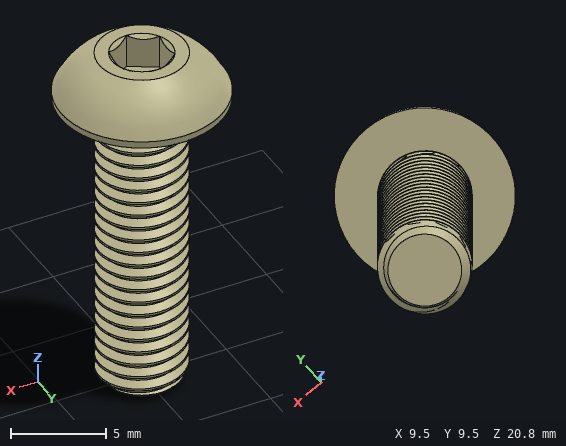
import cadquery as cq
import math

total_length = 20.75
head_diameter = 9.5
head_top_diameter = 5.0
head_height = 2.75
rim_height = 0.4
dome_radius = 5.4

socket_across_flats = 3.0
socket_depth = 2.0
countersink_angle = 45.0

shank_radius = 2.5
tip_radius = 1.93
shank_length = total_length - head_height

thread_turns = 22.5
pitch = shank_length / thread_turns
thread_depth = 0.55 * pitch
groove_root_width = 0.2 * pitch
flank_half_angle = 30.0
groove_phase_height = 0.27


def make_head():
    """Domed head above a short cylindrical rim."""
    rim_radius = head_diameter / 2
    top_radius = head_top_diameter / 2
    chord_x = top_radius - rim_radius
    chord_z = head_height - rim_height
    chord = math.hypot(chord_x, chord_z)
    bulge = dome_radius - math.sqrt(dome_radius**2 - (chord / 2) ** 2)
    dome_middle = (
        (rim_radius + top_radius) / 2 + bulge * chord_z / chord,
        (rim_height + head_height) / 2 - bulge * chord_x / chord,
    )
    return (
        cq.Workplane("XZ")
        .lineTo(rim_radius, 0)
        .lineTo(rim_radius, rim_height)
        .threePointArc(dome_middle, (top_radius, head_height))
        .lineTo(0, head_height)
        .close()
        .revolve(360, (0, 0, 0), (0, 1, 0))
    )


def make_socket():
    """Hexagonal recess with corners on the Y axis and a conical lead-in."""
    corner_radius = socket_across_flats / 2 / math.cos(math.radians(30))
    hexagon = (
        cq.Workplane("XY", origin=(0, 0, head_height - socket_depth))
        .transformed(rotate=(0, 0, 90))
        .polygon(6, 2 * corner_radius)
        .extrude(socket_depth)
    )
    cone_depth = corner_radius * math.tan(math.radians(countersink_angle))
    lead_in = (
        cq.Workplane("XZ")
        .moveTo(0, head_height - cone_depth)
        .lineTo(corner_radius, head_height)
        .lineTo(0, head_height)
        .close()
        .revolve(360, (0, 0, 0), (0, 1, 0))
    )
    return hexagon.union(lead_in)


def make_threaded_rod():
    """Threaded rod whose ends reach beyond both ends of the shank."""
    rod_extension = 5 * pitch
    rod = (
        cq.Workplane("XY", origin=(0, 0, -shank_length - rod_extension))
        .circle(shank_radius)
        .extrude(shank_length + 2 * rod_extension)
    )
    return rod.cut(make_thread_groove())


def make_shank_envelope():
    """Clears the thread crests and trims the rod to length with a 45 degree tip chamfer."""
    clear_radius = shank_radius + pitch
    return (
        cq.Workplane("XY", origin=(0, 0, -shank_length))
        .circle(clear_radius)
        .extrude(shank_length)
        .faces("<Z")
        .chamfer(clear_radius - tip_radius)
    )


def make_thread_groove():
    """Right-handed helical groove that runs past both ends of the shank."""
    root_radius = shank_radius - thread_depth
    overcut = 0.05 * pitch
    flank_slope = math.tan(math.radians(flank_half_angle))
    root_half = groove_root_width / 2
    mouth_half = root_half + (thread_depth + overcut) * flank_slope
    start_z = groove_phase_height - 2 * pitch - shank_length
    helix_height = shank_length + 4 * pitch
    path = cq.Wire.makeHelix(pitch, helix_height, root_radius, cq.Vector(0, 0, start_z))
    return (
        cq.Workplane("XZ")
        .moveTo(root_radius, start_z - root_half)
        .lineTo(shank_radius + overcut, start_z - mouth_half)
        .lineTo(shank_radius + overcut, start_z + mouth_half)
        .lineTo(root_radius, start_z + root_half)
        .close()
        .sweep(cq.Workplane(obj=path), isFrenet=True)
    )


threaded_shank = make_threaded_rod().intersect(make_shank_envelope())
head = make_head().cut(make_socket())
result = head.union(threaded_shank)